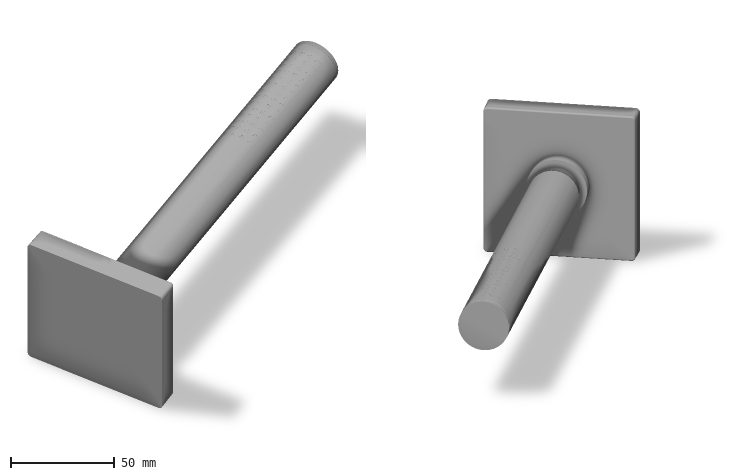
import cadquery as cq

total_length = 213.8

plate_size = 75.0
plate_depth = 12.0
plate_corner_radius = 2.0
plate_draft = 1.3
plate_back_fillet = 0.9

collar_diameter = 30.0
collar_end = 18.5

neck_diameter = 22.5
neck_end = 27.0
grip_diameter = 25.0

cap_length = 2.4
cap_start = total_length - cap_length
seam_chamfer = 0.2

dimple_diameter = 2.8
dimple_depth = 0.1
dimple_columns = 4
dimple_rows = 14
column_pitch = 4.5
row_pitch = 5.0
last_row_inset = 10.0


def cross_section(y):
    """Workplane across the handle axis at distance y, extruding towards +Y."""
    return cq.Workplane("XZ", origin=(0, y, 0)).transformed(rotate=(180, 0, 0))


def cylinder(diameter, start, end):
    return cross_section(start).circle(diameter / 2).extrude(end - start)


def make_plate():
    sketch = cq.Sketch().rect(plate_size, plate_size).vertices().fillet(plate_corner_radius)
    plate = cross_section(0).placeSketch(sketch).extrude(plate_depth, taper=plate_draft)
    return plate.faces(">Y").edges().fillet(plate_back_fillet)


def make_collar():
    return cylinder(collar_diameter, plate_depth, collar_end).faces("<Y").chamfer(seam_chamfer)


def dimple_posts():
    """Upright posts that mark the dimples; each starts on the grip axis and ends above the grip."""
    rows_length = (dimple_rows - 1) * row_pitch
    mid_row = total_length - last_row_inset - rows_length / 2
    return (
        cq.Workplane("XY", origin=(0, mid_row, 0))
        .rarray(column_pitch, row_pitch, dimple_columns, dimple_rows)
        .circle(dimple_diameter / 2)
        .extrude(grip_diameter)
    )


def make_handle():
    neck = cylinder(neck_diameter, collar_end, neck_end)
    grip = cylinder(grip_diameter, neck_end, cap_start).faces(">Y").chamfer(seam_chamfer)
    core = cylinder(grip_diameter - 2 * dimple_depth, neck_end, cap_start)
    dimples = dimple_posts().cut(core)
    return neck.union(grip).cut(dimples)


def make_cap():
    return cylinder(grip_diameter, cap_start, total_length).faces("<Y").chamfer(seam_chamfer)


plate = make_plate()
collar = make_collar()
handle = make_handle()
cap = make_cap()

result = cq.Compound.makeCompound([plate.val(), collar.val(), handle.val(), cap.val()])